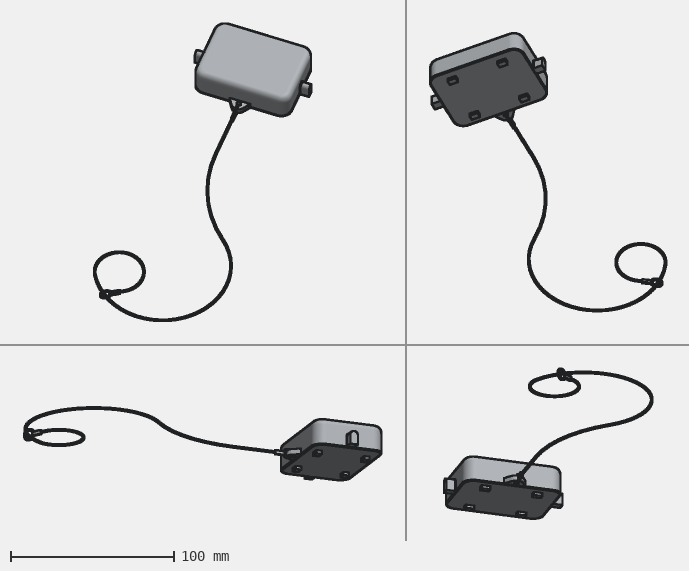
import cadquery as cq
import math


cap_length = 63.0
cap_width = 45.5
cap_height = 17.5
corner_radius = 7.0
top_fillet = 4.0
rim_height = 0.7
rim_inset = 0.5

foot_length = 5.5
foot_width = 3.5
foot_height = 2.0
foot_spacing_x = 33.5
foot_spacing_y = 31.5

pin_reach = 6.0
pin_width = 5.0
pin_top = 9.1
pad_margin = 0.2
pad_thickness = 0.5

lug_half_width = 7.0
lug_tip_radius = 4.5
lug_centre_y = -cap_width / 2 - 2.2
lug_bottom = rim_height
lug_thickness = 3.5
lug_hole_diameter = 2.7
lug_embed = 1.1

overall_x = 81.4
overall_y = 222.3
cord_diameter = 1.1
cord_radius = cord_diameter / 2
cord_z = 2.2
bend_start_y = -64.7
sweep_radius = 42.0
lasso_radius = 15.1
tail_angle = math.radians(33)
tail_length = 11.8

lug_eyelet_radius = 2.5
lasso_eyelet_radius = 3.1
sleeve_length = 5.8
sleeve_width = 1.3
sleeve_height = 2.5


def polar(centre, radius, angle):
    return (centre[0] + radius * math.cos(angle), centre[1] + radius * math.sin(angle))


def make_cap():
    body = (
        cq.Workplane("XY")
        .workplane(offset=rim_height)
        .rect(cap_length, cap_width)
        .extrude(cap_height - rim_height)
        .edges("|Z")
        .fillet(corner_radius)
        .faces(">Z")
        .edges()
        .fillet(top_fillet)
    )
    rim = (
        cq.Workplane("XY")
        .rect(cap_length - 2 * rim_inset, cap_width - 2 * rim_inset)
        .extrude(rim_height)
        .edges("|Z")
        .fillet(corner_radius - rim_inset)
    )
    feet = (
        cq.Workplane("XY")
        .rarray(foot_spacing_x, foot_spacing_y, 2, 2)
        .rect(foot_length, foot_width)
        .extrude(-foot_height)
    )
    return body.union(rim).union(feet)


def make_arched_bar(width, top, length):
    """Bar along X, centred on the cap, with a half-round top."""
    half_width = width / 2
    shoulder = top - half_width
    return (
        cq.Workplane("YZ")
        .moveTo(-half_width, rim_height)
        .lineTo(-half_width, shoulder)
        .threePointArc((0, top), (half_width, shoulder))
        .lineTo(half_width, rim_height)
        .close()
        .extrude(length / 2, both=True)
    )


def make_pins():
    """Both pins as one bar through the cap, each with a slightly larger pad at its root."""
    pins = make_arched_bar(pin_width, pin_top, cap_length + 2 * pin_reach)
    pads = make_arched_bar(
        pin_width + 2 * pad_margin,
        pin_top + pad_margin,
        cap_length + 2 * pad_thickness,
    )
    return pins.union(pads)


def make_lug():
    root_y = -cap_width / 2
    root_rise = root_y - lug_centre_y
    root_distance = math.hypot(lug_half_width, root_rise)
    tangent_angle = math.atan2(root_rise, lug_half_width) - math.acos(lug_tip_radius / root_distance)
    tangent_x, tangent_y = polar((0, lug_centre_y), lug_tip_radius, tangent_angle)
    return (
        cq.Workplane("XY")
        .workplane(offset=lug_bottom)
        .moveTo(-lug_half_width, root_y + lug_embed)
        .lineTo(-lug_half_width, root_y)
        .lineTo(-tangent_x, tangent_y)
        .threePointArc((0, lug_centre_y - lug_tip_radius), (tangent_x, tangent_y))
        .lineTo(lug_half_width, root_y)
        .lineTo(lug_half_width, root_y + lug_embed)
        .close()
        .extrude(lug_thickness)
        .cut(
            cq.Workplane("XY")
            .center(0, lug_centre_y)
            .circle(lug_hole_diameter / 2)
            .extrude(cap_height)
        )
    )


def make_eyelet(centre, radius, heading):
    """Upright ring with a crimp sleeve leaving it in the heading direction."""
    ring = cq.Workplane(
        cq.Solid.makeTorus(radius, cord_radius, cq.Vector(0, 0, 0), cq.Vector(0, 1, 0))
    )
    sleeve = (
        cq.Workplane("XY")
        .box(sleeve_length, sleeve_width, sleeve_height)
        .translate((radius + sleeve_length / 2, 0, 0))
    )
    eyelet = ring.union(sleeve).rotate((0, 0, 0), (0, 0, 1), math.degrees(heading))
    return eyelet.translate((centre[0], centre[1], cord_z))


lug_eyelet = (0, lug_centre_y - lug_hole_diameter / 2 - lug_eyelet_radius)
cord_start = (0, lug_eyelet[1] - lug_eyelet_radius - sleeve_length / 2)

sweep_centre = (0, cap_width / 2 - overall_y + cord_radius + sweep_radius)

bend_drop = bend_start_y - sweep_centre[1]
bend_radius = (bend_drop**2 - sweep_radius**2) / (2 * sweep_radius)
bend_centre = (bend_radius, bend_start_y)
bend_to_sweep = math.atan2(bend_drop, bend_radius)

lasso_x = sweep_radius - overall_x + lasso_radius + cord_diameter
lasso_to_sweep = math.pi + math.acos(-lasso_x / (sweep_radius - lasso_radius))
lasso_centre = polar(sweep_centre, sweep_radius - lasso_radius, lasso_to_sweep)
lasso_exit = tail_angle - math.pi / 2
tail_start = polar(lasso_centre, lasso_radius, lasso_exit)
lasso_eyelet = polar(tail_start, tail_length, math.pi + tail_angle)
tail_end = polar(lasso_eyelet, lasso_eyelet_radius + sleeve_length / 2, tail_angle)


def make_cord():
    bend_end = polar(sweep_centre, sweep_radius, bend_to_sweep)
    bend_middle = polar(bend_centre, bend_radius, math.pi + bend_to_sweep / 2)
    sweep_end = polar(sweep_centre, sweep_radius, lasso_to_sweep)
    sweep_bottom = polar(sweep_centre, sweep_radius, -math.pi / 2)
    lasso_top = polar(lasso_centre, lasso_radius, math.pi / 2)
    path = (
        cq.Workplane("XY", origin=(0, 0, cord_z))
        .moveTo(*cord_start)
        .lineTo(0, bend_start_y)
        .threePointArc(bend_middle, bend_end)
        .threePointArc(sweep_bottom, sweep_end)
        .threePointArc(lasso_top, tail_start)
        .lineTo(*tail_end)
    )
    return cq.Workplane("XZ", origin=(0, cord_start[1], cord_z)).circle(cord_radius).sweep(path)


result = (
    make_cap()
    .union(make_pins())
    .union(make_lug())
    .union(make_eyelet(lug_eyelet, lug_eyelet_radius, -math.pi / 2))
    .union(make_cord())
    .union(make_eyelet(lasso_eyelet, lasso_eyelet_radius, tail_angle))
)